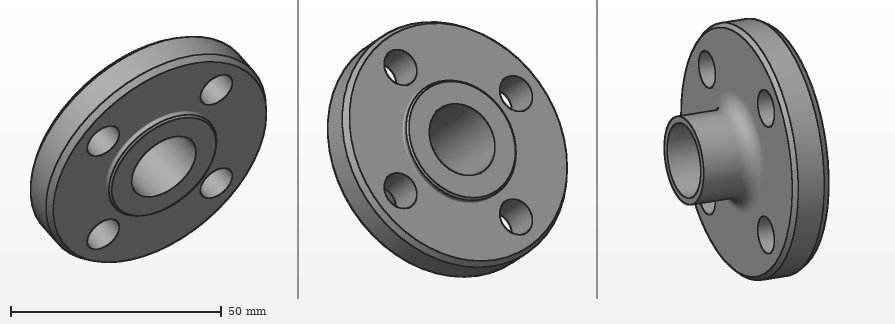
import cadquery as cq
import math

total_length = 25.5
face_height = 1.8
flange_thickness = 9.75
flange_back = total_length - face_height
flange_front = flange_back - flange_thickness

flange_diameter = 62
flange_radius = flange_diameter / 2
chamfer_depth = 1.0
front_chamfer_length = 1.1
back_chamfer_angle = 30
back_chamfer_length = chamfer_depth / math.tan(math.radians(back_chamfer_angle))

neck_radius = 21.3 / 2
bore_radius = 18.1 / 2
neck_fillet = 3.95

face_radius = 30.3 / 2
face_chamfer = 0.5
face_root_fillet = 0.3

bolt_count = 4
bolt_hole_diameter = 9.0
bolt_circle_radius = 45.0 / 2
first_bolt_angle = 45


def make_body():
    """Revolve the flange profile, drawn as (axial, radial), about the X axis."""
    neck_inset = neck_fillet * (1 - math.sin(math.radians(45)))
    neck_fillet_mid = (flange_front - neck_inset, neck_radius + neck_inset)
    root_inset = face_root_fillet * (1 - math.sin(math.radians(45)))
    root_fillet_mid = (flange_back + root_inset, face_radius + root_inset)
    rim_radius = flange_radius - chamfer_depth
    profile = (
        cq.Workplane("XY")
        .moveTo(0, bore_radius)
        .lineTo(0, neck_radius)
        .lineTo(flange_front - neck_fillet, neck_radius)
        .threePointArc(neck_fillet_mid, (flange_front, neck_radius + neck_fillet))
        .lineTo(flange_front, rim_radius)
        .lineTo(flange_front + front_chamfer_length, flange_radius)
        .lineTo(flange_back - back_chamfer_length, flange_radius)
        .lineTo(flange_back, rim_radius)
        .lineTo(flange_back, face_radius + face_root_fillet)
        .threePointArc(root_fillet_mid, (flange_back + face_root_fillet, face_radius))
        .lineTo(total_length - face_chamfer, face_radius)
        .lineTo(total_length, face_radius - face_chamfer)
        .lineTo(total_length, bore_radius)
        .close()
    )
    return profile.revolve(360, (0, 0, 0), (1, 0, 0))


def make_bolt_holes():
    """Cylinders running along X, evenly spaced on the bolt circle."""
    return (
        cq.Workplane("YZ")
        .workplane(offset=flange_front)
        .polarArray(bolt_circle_radius, first_bolt_angle, 360, bolt_count)
        .circle(bolt_hole_diameter / 2)
        .extrude(flange_thickness)
    )


result = make_body().cut(make_bolt_holes())